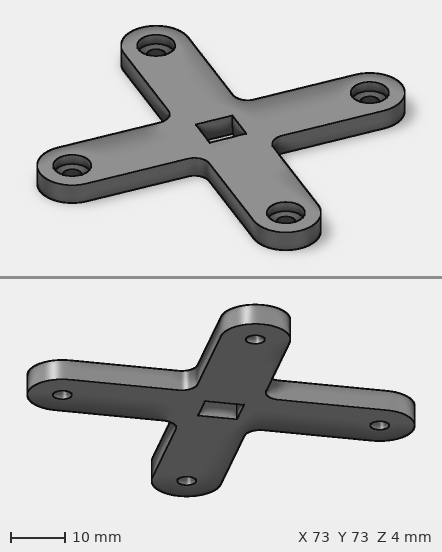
import cadquery as cq

span = 73.0
thickness = 4.0
arm_width = 13.0
inner_corner_radius = 3.0
arm_end_radius = arm_width / 2
hole_offset = span / 2 - arm_end_radius

hole_diameter = 3.5
counterbore_diameter = 7.0
counterbore_depth = 2.05

window_top_length_x = 6.5
window_bottom_length_x = 6.1
window_length_y = 7.4


def cross_plate():
    """Two crossed round-ended arms with filleted inner corners."""
    base = cq.Workplane("XY")
    arm_x = base.slot2D(span, arm_width).extrude(thickness)
    arm_y = base.slot2D(span, arm_width, 90).extrude(thickness)
    corner_box = cq.selectors.BoxSelector(
        (-arm_width, -arm_width, -thickness),
        (arm_width, arm_width, 2 * thickness),
    )
    return arm_x.union(arm_y).edges("|Z").edges(corner_box).fillet(inner_corner_radius)


def add_screw_holes(plate):
    """One counterbored hole at the centre of each arm's round end."""
    return (
        plate.faces(">Z").workplane(origin=(0, 0, thickness))
        .polarArray(hole_offset, 0, 360, 4)
        .cboreHole(hole_diameter, counterbore_diameter, counterbore_depth)
    )


def add_window(plate):
    """Rectangular through opening whose two X walls taper inward toward the bottom."""
    window = (
        cq.Workplane("XY")
        .rect(window_bottom_length_x, window_length_y)
        .workplane(offset=thickness)
        .rect(window_top_length_x, window_length_y)
        .loft(ruled=True)
    )
    return plate.cut(window)


result = add_window(add_screw_holes(cross_plate()))